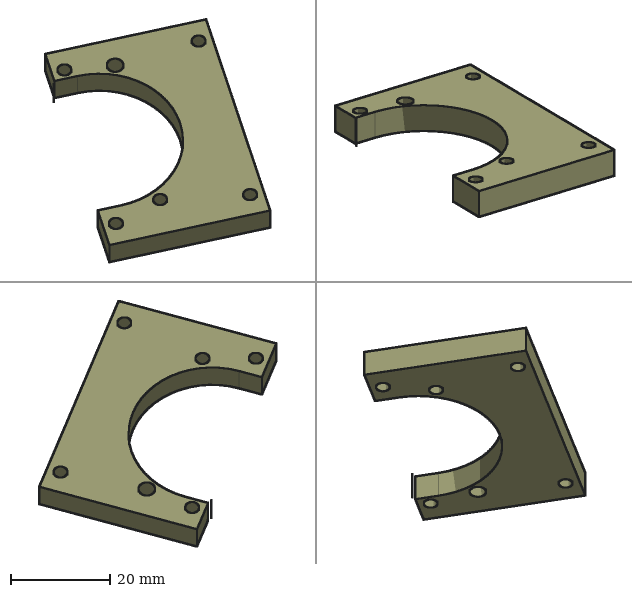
import cadquery as cq

plate_length = 49.8
plate_width = 33.55
thickness = 5.8

arch_radius = 16.85
arch_center_x = 23.9
arch_top_margin = 11.85
arch_center_y = plate_width - arch_top_margin - arch_radius

corner_hole_diameter = 2.8
corner_spacing_x = 40.0
corner_spacing_y = 28.0
corner_front_margin = 2.7
corner_center_y = corner_front_margin + corner_spacing_y / 2

left_hole_diameter = 3.35
right_hole_diameter = 2.8
side_hole_spacing = 34.95
side_hole_y = 12.85

sliver_length = 0.15
sliver_width = 0.05
sliver_center_x = 7.85
overall_width = 33.95
sliver_front_y = plate_width - overall_width


def through_holes(points, diameter):
    return cq.Workplane("XY").pushPoints(points).circle(diameter / 2).extrude(thickness)


def make_arch_opening():
    return (
        cq.Workplane("XY")
        .moveTo(arch_center_x - arch_radius, 0)
        .lineTo(arch_center_x - arch_radius, arch_center_y)
        .threePointArc(
            (arch_center_x, arch_center_y + arch_radius),
            (arch_center_x + arch_radius, arch_center_y),
        )
        .lineTo(arch_center_x + arch_radius, 0)
        .close()
        .extrude(thickness)
    )


def make_plate():
    blank = cq.Workplane("XY").box(plate_length, plate_width, thickness, centered=False)
    corner_points = [
        (plate_length / 2 + side_x * corner_spacing_x / 2, corner_center_y + side_y * corner_spacing_y / 2)
        for side_x in (-1, 1)
        for side_y in (-1, 1)
    ]
    left_point = (arch_center_x - side_hole_spacing / 2, side_hole_y)
    right_point = (arch_center_x + side_hole_spacing / 2, side_hole_y)
    return (
        blank.cut(make_arch_opening())
        .cut(through_holes(corner_points, corner_hole_diameter))
        .cut(through_holes([left_point], left_hole_diameter))
        .cut(through_holes([right_point], right_hole_diameter))
    )


def make_sliver():
    return (
        cq.Workplane("XY")
        .box(sliver_length, sliver_width, thickness, centered=(True, False, False))
        .translate((sliver_center_x, sliver_front_y, 0))
    )


plate = make_plate().solids()
sliver = make_sliver()

result = cq.Compound.makeCompound([plate.val(), sliver.val()])